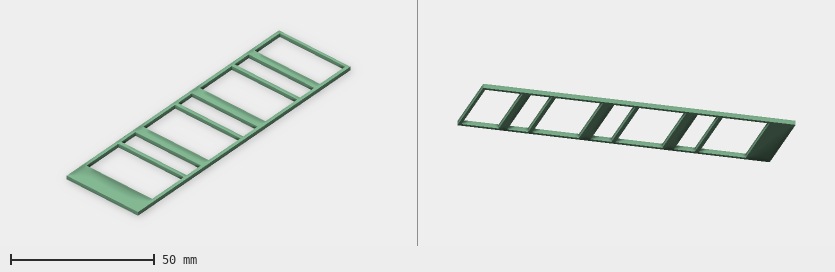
import cadquery as cq

width = 32.8
length = 113.2
thickness = 1.6

side_rail = 1.4
end_rail = 1.1
solid_end = 9.0
large_window = 17.0
thin_bar = 1.5
small_window = 7.6
wide_bar = 4.2
last_wide_bar = 3.0
bay_count = 3

window_width = width - 2 * side_rail
bay_pitch = large_window + thin_bar + small_window + wide_bar


def cut_window(plate, start, height):
    """Cut a rectangular through window whose lower edge is at start."""
    cutter = cq.Workplane("XY").box(window_width, height, 2 * thickness)
    return plate.cut(cutter.translate((0, start + height / 2 - length / 2, 0)))


result = cq.Workplane("XY").box(width, length, thickness)

for bay in range(bay_count):
    large_start = solid_end + bay * bay_pitch
    small_start = large_start + large_window + thin_bar
    result = cut_window(result, large_start, large_window)
    result = cut_window(result, small_start, small_window)

last_start = small_start + small_window + last_wide_bar
result = cut_window(result, last_start, length - end_rail - last_start)